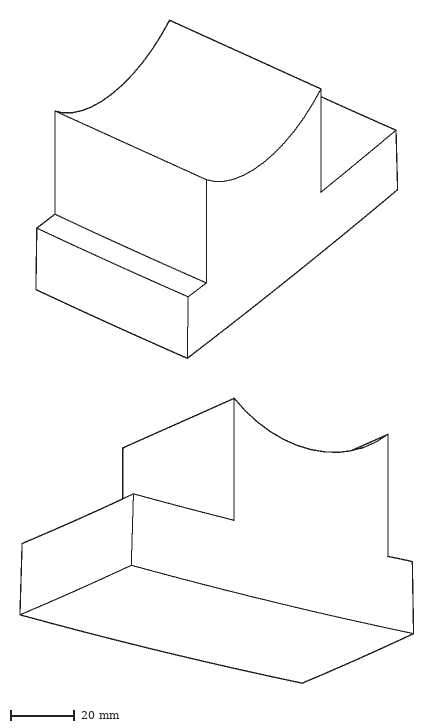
import cadquery as cq
import math

length = 110
width = 60.0
overall_height = 65.1

shell_radius = 1999.8
shell_thickness = 24.0
ledge_radius = shell_radius - shell_thickness
rear_reach = 70.1
front_reach = length - rear_reach

saddle_length = width
saddle_radius = 46.0
saddle_axis_height = overall_height + math.sqrt(saddle_radius**2 - (saddle_length / 2) ** 2)
saddle_root_height = shell_thickness / 2

wedge_overshoot = 5.5


def prism(points):
    """Extrude a (Y, Z) outline across the width, centred on X = 0."""
    return cq.Workplane("YZ").polyline(points).close().extrude(width / 2, both=True)


def sphere(radius):
    return cq.Workplane("XY").sphere(radius).translate((0, 0, shell_radius))


def radial_point(reach, radius):
    """Point at a given radius on the end plane that meets the outer sphere at Y = reach."""
    angle = math.asin(reach / shell_radius)
    return (radius * math.sin(angle), shell_radius - radius * math.cos(angle))


def shell_base():
    """Shell slice with flat sides and end faces that point to the sphere centre."""
    outside = shell_radius + wedge_overshoot
    inside = ledge_radius - wedge_overshoot
    wedge = prism(
        [
            radial_point(-front_reach, outside),
            radial_point(rear_reach, outside),
            radial_point(rear_reach, inside),
            radial_point(-front_reach, inside),
        ]
    )
    return wedge.intersect(sphere(shell_radius)).cut(sphere(ledge_radius))


def saddle():
    """Upright block with a cylindrical cradle along X in its top."""
    half = saddle_length / 2
    block = prism(
        [
            (-half, saddle_root_height),
            (half, saddle_root_height),
            (half, overall_height),
            (-half, overall_height),
        ]
    )
    cradle = (
        cq.Workplane("YZ")
        .center(0, saddle_axis_height)
        .circle(saddle_radius)
        .extrude(width, both=True)
    )
    return block.cut(cradle)


result = shell_base().union(saddle())